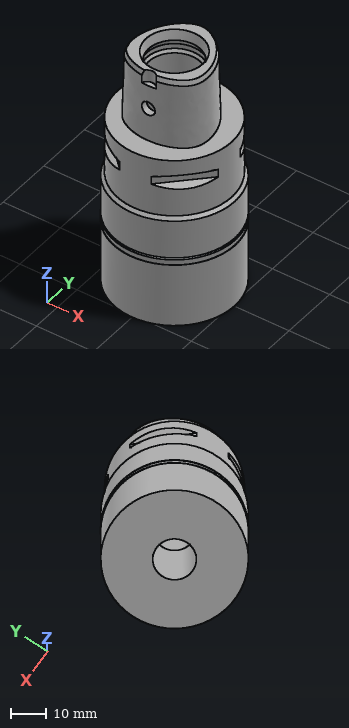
import cadquery as cq
import math

total_height = 84.0
nut_rim_bottom = 22.4
nut_top = 24.4
shoulder_bottom = 25.0
shoulder_top = 39.65
flange_top = 60.0
shank_chamfer_bottom = total_height - 1.6

nut_diameter = 42.2
nut_rim_diameter = 42.3
neck_diameter = 32.6
shoulder_diameter = nut_diameter
flange_diameter = 40.0
through_bore_diameter = 12.4
shoulder_chamfer = (shoulder_diameter - flange_diameter) / 2

shank_base_radius = 14.1
lobe_height = 0.88
shank_slope = 1 / 40
shank_chamfer = 0.7

mouth_diameter = 19.8
socket_bore_diameter = 17.8
undercut_diameter = 19.4
mouth_depth = 3.2
undercut_start_depth = 5.1
undercut_end_depth = 6.9
undercut_exit_depth = 7.9
socket_depth = total_height - flange_top

notch_radius = 2.7
notch_center_y = -13.6
notch_depth = 4.3
side_hole_diameter = 4.6
side_hole_height = 71.5
side_hole_bottom_y = -10.5

groove_count = 4
groove_floor_height = 2.7
groove_center_height = 51.8
groove_depth = 2.5
groove_upper_rise = 1.4
groove_lower_rise = 1.1


def cylinder(diameter, bottom, top):
    return cq.Workplane("XY").workplane(offset=bottom).circle(diameter / 2).extrude(top - bottom)


def lobed_point(mean_radius, turn):
    """Point on a constant-width outline with one lobe on +Y; turn 0 to 1 starts at -Y."""
    angle = 2 * math.pi * turn - math.pi / 2
    lobe_angle = 3 * (angle - math.pi / 2)
    reach = mean_radius + lobe_height * math.cos(lobe_angle)
    reach_rate = -3 * lobe_height * math.sin(lobe_angle)
    x = reach * math.cos(angle) - reach_rate * math.sin(angle)
    y = reach * math.sin(angle) + reach_rate * math.cos(angle)
    return x, y


def lobed_wire(mean_radius, height):
    point_count = 24
    points = [cq.Vector(*lobed_point(mean_radius, i / point_count), height) for i in range(point_count)]
    return cq.Wire.assembleEdges([cq.Edge.makeSpline(points, periodic=True)])


def make_shank():
    chamfer_radius = shank_base_radius - shank_slope * (shank_chamfer_bottom - flange_top)
    base = lobed_wire(shank_base_radius, flange_top)
    chamfer_start = lobed_wire(chamfer_radius, shank_chamfer_bottom)
    end = lobed_wire(chamfer_radius - shank_chamfer, total_height)
    taper = cq.Solid.makeLoft([base, chamfer_start], True)
    tip = cq.Solid.makeLoft([chamfer_start, end], True)
    return cq.Workplane(obj=taper).union(cq.Workplane(obj=tip))


def make_socket():
    """Revolved cutter for the conical mouth, the undercut with sloping sides and the bore."""
    bore_radius = socket_bore_diameter / 2
    undercut_radius = undercut_diameter / 2
    profile = [
        (0, total_height),
        (mouth_diameter / 2, total_height),
        (bore_radius, total_height - mouth_depth),
        (undercut_radius, total_height - undercut_start_depth),
        (undercut_radius, total_height - undercut_end_depth),
        (bore_radius, total_height - undercut_exit_depth),
        (bore_radius, total_height - socket_depth),
        (0, total_height - socket_depth),
    ]
    return cq.Workplane("XZ").polyline(profile).close().revolve(360, (0, 0), (0, 1))


def make_gripper_groove(angle):
    """Straight cutter with sloping walls, crossing the flange edge in the given direction."""
    outer = flange_diameter / 2
    inner = outer - groove_depth
    half_floor = groove_floor_height / 2
    profile = [
        (inner, groove_center_height - half_floor),
        (outer, groove_center_height - half_floor - groove_lower_rise),
        (outer, groove_center_height + half_floor + groove_upper_rise),
        (inner, groove_center_height + half_floor),
    ]
    cutter = cq.Workplane("XZ").polyline(profile).close().extrude(outer, both=True)
    return cutter.rotate((0, 0, 0), (0, 0, 1), angle)


def make_holder():
    holder = cylinder(neck_diameter, nut_top, shoulder_bottom)
    shoulder = cylinder(shoulder_diameter, shoulder_bottom, shoulder_top)
    holder = holder.union(shoulder.faces(">Z").edges().chamfer(shoulder_chamfer))
    holder = holder.union(cylinder(flange_diameter, shoulder_top, flange_top))
    holder = holder.union(make_shank())

    holder = holder.cut(make_socket())
    holder = holder.cut(cylinder(through_bore_diameter, nut_top, total_height))

    for index in range(groove_count):
        holder = holder.cut(make_gripper_groove(45 + index * 360 / groove_count))

    notch = cylinder(2 * notch_radius, total_height - notch_depth, total_height)
    holder = holder.cut(notch.translate((0, notch_center_y, 0)))

    side_hole = (
        cq.Workplane("XZ", origin=(0, side_hole_bottom_y, side_hole_height))
        .circle(side_hole_diameter / 2)
        .extrude(flange_diameter / 2)
    )
    return holder.cut(side_hole)


def make_nut():
    nut = cylinder(nut_diameter, 0, nut_rim_bottom)
    nut = nut.union(cylinder(nut_rim_diameter, nut_rim_bottom, nut_top))
    return nut.cut(cylinder(through_bore_diameter, 0, nut_top))


holder = make_holder()
nut = make_nut()
result = cq.Compound.makeCompound([holder.val(), nut.val()])